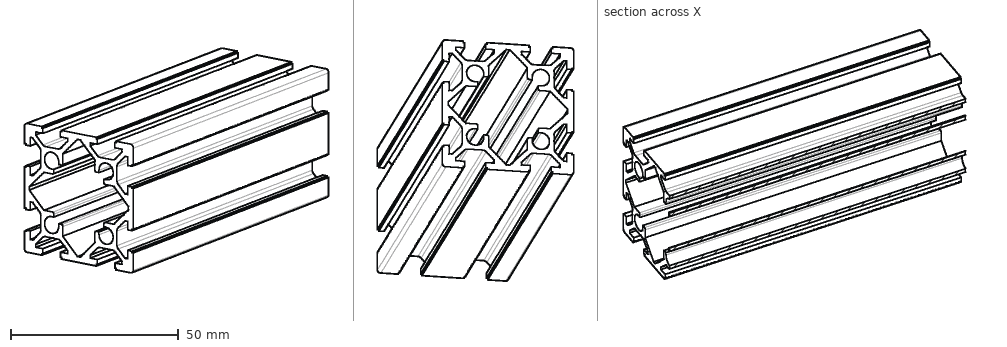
import cadquery as cq

side = 40.0
length = 100.0
corner_radius = 1.0

slot_pitch = side / 2
mouth_width = 6.4
step_width = 0.4
step_depth = 0.5
lip_thickness = 2.1
undercut_width = 11.7
undercut_wall = 0.9
slot_depth = 6.0
floor_rounding = 1.4

skin_thickness = 1.8
tip_flat = 1.0

bore_diameter = 5.2
core_inner_wall = 4.1
arm_reach = 0.8
arm_rounding = 0.5

half_side = side / 2
half_length = length / 2
bore_offset = slot_pitch / 2


def extrude_profile(sketch):
    """Extrude a closed XZ outline over the full length, centred on Y."""
    return sketch.extrude(half_length, both=True)


def make_cavity():
    """Diamond cutter whose four tips point at the middles of the faces."""
    tip = half_side - skin_thickness
    flat = tip_flat / 2
    outline = [
        (tip, -flat), (tip, flat), (flat, tip), (-flat, tip),
        (-tip, flat), (-tip, -flat), (-flat, -tip), (flat, -tip),
    ]
    return extrude_profile(cq.Workplane("XZ").polyline(outline).close())


def make_core():
    """Square core of the +X +Z quadrant with its opening, which leaves two arms."""
    inner = bore_offset - core_inner_wall
    outer = half_side - slot_depth
    core_size = outer - inner
    core_middle = (outer + inner) / 2
    core = extrude_profile(
        cq.Workplane("XZ").center(core_middle, core_middle).rect(core_size, core_size)
    )

    arm_end = bore_offset - arm_reach
    opening_size = arm_end - inner
    opening = extrude_profile(
        cq.Workplane("XZ").center(inner, inner).rect(opening_size, opening_size, centered=False)
    )
    core = core.cut(opening)

    for x, z in ((inner, arm_end), (arm_end, inner)):
        core = core.edges(cq.selectors.NearestToPointSelector((x, 0, z))).fillet(arm_rounding)
    return core


def make_bore():
    """Bore cutter of the +X +Z quadrant, running out straight towards the middle."""
    bore_plane = cq.Workplane("XZ").center(bore_offset, bore_offset)
    bore = extrude_profile(bore_plane.circle(bore_diameter / 2))
    run_out_size = bore_diameter / 2
    run_out = extrude_profile(bore_plane.rect(-run_out_size, -run_out_size, centered=False))
    return bore.union(run_out)


def make_slot():
    """T-slot cutter in the +Z face, on the +X side, with a stepped mouth."""
    mouth = mouth_width / 2
    undercut = undercut_width / 2
    lip_z = half_side - lip_thickness
    wall_end_z = lip_z - undercut_wall
    floor_z = half_side - slot_depth
    floor = undercut - (wall_end_z - floor_z)
    step_z = half_side - step_depth
    stepped_mouth = mouth + step_width

    outline = (
        cq.Workplane("XZ")
        .center(bore_offset, 0)
        .moveTo(stepped_mouth, half_side)
        .lineTo(stepped_mouth, step_z)
        .lineTo(mouth, step_z)
        .lineTo(mouth, lip_z)
        .lineTo(undercut, lip_z)
        .lineTo(undercut, wall_end_z)
        .lineTo(floor, floor_z)
        .lineTo(-floor, floor_z)
        .lineTo(-undercut, wall_end_z)
        .lineTo(-undercut, lip_z)
        .lineTo(-mouth, lip_z)
        .lineTo(-mouth, step_z)
        .lineTo(-stepped_mouth, step_z)
        .lineTo(-stepped_mouth, half_side)
        .close()
    )
    slot = extrude_profile(outline)
    for x in (bore_offset - floor, bore_offset + floor):
        floor_edge = cq.selectors.NearestToPointSelector((x, 0, floor_z))
        slot = slot.edges(floor_edge).fillet(floor_rounding)
    return slot


result = cq.Workplane("XY").box(side, length, side).edges("|Y").fillet(corner_radius)
result = result.cut(make_cavity())

core = make_core()
bore = make_bore()
slot = make_slot()
mirrored_slot = slot.mirror("YZ")
for quarter in range(4):
    angle = 90 * quarter
    result = result.union(core.rotate((0, 0, 0), (0, 1, 0), angle))
    for cutter in (bore, slot, mirrored_slot):
        result = result.cut(cutter.rotate((0, 0, 0), (0, 1, 0), angle))